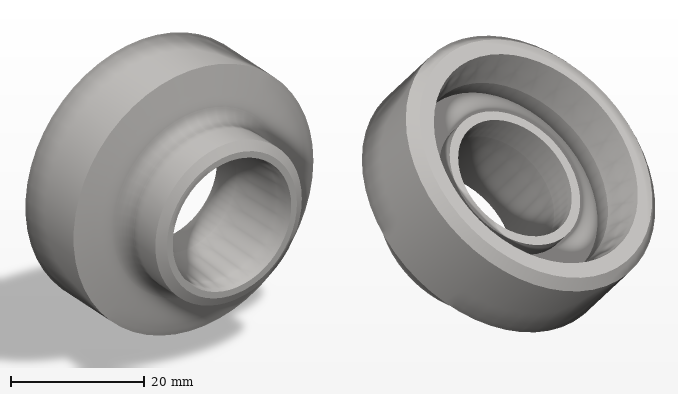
import cadquery as cq
import math

total_length = 24.0

body_radius = 22.0
mouth_chamfer = 1.5
shoulder_angle = math.radians(10)

hub_radius = 26.9 / 2
hub_start = 17.6
root_fillet = 2.5
bevel_length = 0.9
bevel_angle = math.radians(60)

seat_radius = 32.8 / 2
seat_start = 5.95
seat_angle = math.radians(15)
floor_depth = 8.9
ring_radius = 23.0 / 2
ring_face = 5.95

bore_radius = 20.0 / 2
flare_start = 10.9
outlet_radius = 10.85

mouth_radius = seat_radius + seat_start * math.tan(seat_angle)
bevel_radius = hub_radius - bevel_length * math.tan(bevel_angle)


def root_arc_point(angle):
    """Point on the hub root fillet, with the angle measured from the -X direction."""
    x = hub_start - root_fillet * math.cos(angle)
    r = hub_radius + root_fillet * (1 - math.sin(angle))
    return x, r


root_start = root_arc_point(shoulder_angle)
root_middle = root_arc_point((shoulder_angle + math.pi / 2) / 2)
body_length = root_start[0] - (body_radius - root_start[1]) * math.tan(shoulder_angle)

profile = (
    cq.Workplane("XY")
    .moveTo(0, mouth_radius)
    .lineTo(0, body_radius - mouth_chamfer)
    .lineTo(mouth_chamfer, body_radius)
    .lineTo(body_length, body_radius)
    .lineTo(*root_start)
    .threePointArc(root_middle, (hub_start, hub_radius))
    .lineTo(total_length - bevel_length, hub_radius)
    .lineTo(total_length, bevel_radius)
    .lineTo(total_length, outlet_radius)
    .lineTo(flare_start, bore_radius)
    .lineTo(ring_face, bore_radius)
    .lineTo(ring_face, ring_radius)
    .lineTo(floor_depth, ring_radius)
    .lineTo(floor_depth, seat_radius)
    .lineTo(seat_start, seat_radius)
    .close()
)

result = profile.revolve(360, (0, 0, 0), (1, 0, 0))